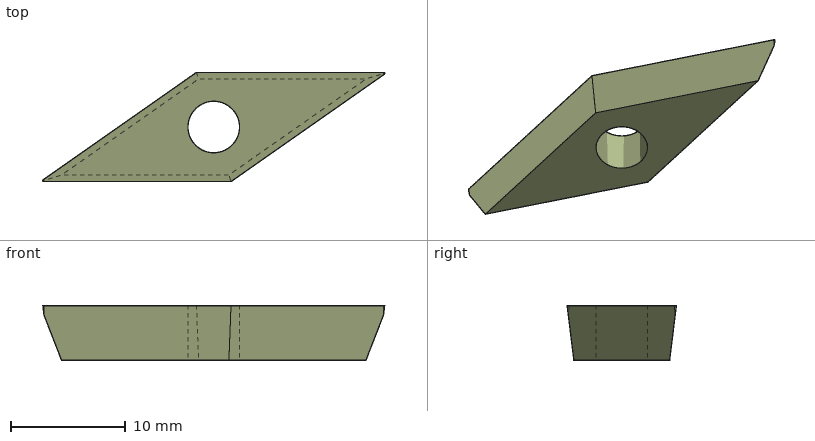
import cadquery as cq
import math

rhombus_height = 9.53
thickness = 4.75
nose_angle = 35.0
clearance_angle = 7.0
nose_radius = 0.1
hole_diameter = 4.47

side = rhombus_height / math.sin(math.radians(nose_angle))
slant_run = side * math.cos(math.radians(nose_angle))
half_length = (side + slant_run) / 2
half_height = rhombus_height / 2
blunt_x = (side - slant_run) / 2

cone_depth = nose_radius / math.tan(math.radians(clearance_angle))
cone_inset = nose_radius / math.tan(math.radians(nose_angle / 2))
nose_x = half_length - cone_inset
nose_y = half_height - nose_radius


def tapered_body():
    """Rhombic prism that narrows downward from its top face."""
    corners = [
        (-half_length, -half_height),
        (blunt_x, -half_height),
        (half_length, half_height),
        (-blunt_x, half_height),
    ]
    return cq.Workplane("XY").polyline(corners).close().extrude(-thickness, taper=clearance_angle)


def nose_waste():
    """Sharp corner left outside the nose cone at the +X end."""
    slant = math.radians(nose_angle)
    straight_point = cq.Vector(nose_x, half_height, 0)
    slanted_point = cq.Vector(
        nose_x + nose_radius * math.sin(slant),
        nose_y - nose_radius * math.cos(slant),
        0,
    )
    corner = cq.Vector(half_length, half_height, 0)
    cone_center = cq.Vector(nose_x, nose_y, 0)
    apex = cq.Vector(nose_x, nose_y, -cone_depth)

    base = [straight_point, corner, slanted_point, cone_center]
    outlines = [base]
    for index, start in enumerate(base):
        end = base[(index + 1) % len(base)]
        outlines.append([start, end, apex])
    faces = [
        cq.Face.makeFromWires(cq.Wire.makePolygon(outline, close=True))
        for outline in outlines
    ]
    pyramid = cq.Solid.makeSolid(cq.Shell.makeShell(faces))
    cone = cq.Solid.makeCone(
        nose_radius, 0, cone_depth, pnt=cone_center, dir=cq.Vector(0, 0, -1)
    )
    return cq.Workplane(pyramid).cut(cq.Workplane(cone))


hole = cq.Workplane("XY").circle(hole_diameter / 2).extrude(-thickness)

right_waste = nose_waste()
left_waste = right_waste.rotate((0, 0, 0), (0, 0, 1), 180)
result = tapered_body().cut(hole).cut(right_waste).cut(left_waste)